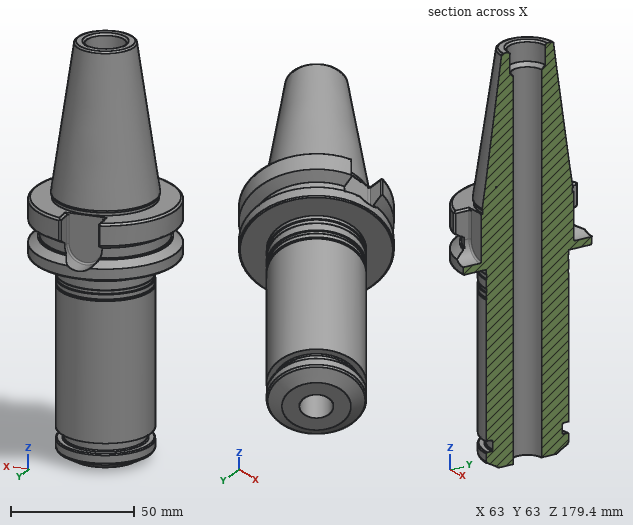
import cadquery as cq

total_height = 179.4
gauge_height = 114.1
flange_top = 112.0
flange_bottom = 87.2
rim_lower_edge = 102.5
vee_top = 99.7
vee_bottom = 94.9
lower_rim_top = 92.4

gauge_radius = 44.5 / 2
taper_slope = 7 / 48
taper_end_radius = gauge_radius - (total_height - gauge_height) * taper_slope
taper_end_chamfer = 0.7
neck_radius = 21.9
neck_height = 113.2

flange_radius = 63.0 / 2
vee_radius = 53.5 / 2
vee_lip_radius = 27.5
vee_lip_height = 0.5
rim_chamfer = 0.9
flange_bottom_chamfer = 0.5

body_radius = 40.5 / 2
ring_groove_radius = 40.0 / 2
ring_groove_slope = 0.4
ring_grooves = [(85.4, 82.9), (79.1, 77.1), (75.2, 74.3)]
nose_groove_radius = 34.0 / 2
nose_groove_top = 12.7
nose_groove_bottom = 8.0
nose_groove_chamfer = 0.5
nose_edge_height = 4.1
nose_cone_height = 3.2
nose_cone_radius = 19.7
nose_end_radius = 14.0

bore_radius = 13.8 / 2
counterbore_radius = 17.0 / 2
counterbore_depth = 9.3
shoulder_drop = 1.8
counterbore_chamfer = 0.9

slot_width = 16.1
slot_floor = 22.6
slot_bottom = 90.8
slot_chamfer = 0.9
slot_floor_fillet = 0.7


def make_body():
    """Revolve the outer outline of the holder, from the nose to the taper end."""
    outline = [
        (0, 0),
        (nose_end_radius, 0),
        (nose_cone_radius, nose_cone_height),
        (body_radius, nose_edge_height),
        (body_radius, nose_groove_bottom - nose_groove_chamfer),
        (body_radius - nose_groove_chamfer, nose_groove_bottom),
        (nose_groove_radius + nose_groove_chamfer, nose_groove_bottom),
        (nose_groove_radius, nose_groove_bottom + nose_groove_chamfer),
        (nose_groove_radius, nose_groove_top - nose_groove_chamfer),
        (nose_groove_radius + nose_groove_chamfer, nose_groove_top),
        (body_radius, nose_groove_top),
        (body_radius, flange_bottom),
        (flange_radius - flange_bottom_chamfer, flange_bottom),
        (flange_radius, flange_bottom + flange_bottom_chamfer),
        (flange_radius, lower_rim_top),
        (vee_lip_radius, vee_bottom),
        (vee_lip_radius, vee_bottom + vee_lip_height),
        (vee_radius, vee_bottom + vee_lip_height),
        (vee_radius, vee_top),
        (flange_radius, rim_lower_edge),
        (flange_radius, flange_top - rim_chamfer),
        (flange_radius - rim_chamfer, flange_top),
        (neck_radius, flange_top),
        (neck_radius, neck_height),
        (gauge_radius, gauge_height),
        (taper_end_radius + taper_end_chamfer * taper_slope, total_height - taper_end_chamfer),
        (taper_end_radius - taper_end_chamfer, total_height),
        (0, total_height),
    ]
    return cq.Workplane("XZ").polyline(outline).close().revolve(360, (0, 0, 0), (0, 1, 0))


def make_ring_groove(top, bottom):
    """Shallow ring with sloped walls, cut around the cylindrical body."""
    profile = [
        (body_radius, bottom),
        (ring_groove_radius, bottom + ring_groove_slope),
        (ring_groove_radius, top - ring_groove_slope),
        (body_radius, top),
    ]
    return cq.Workplane("XZ").polyline(profile).close().revolve(360, (0, 0, 0), (0, 1, 0))


def make_bore():
    """Through hole with a chamfered, cone-bottomed counterbore at the taper end."""
    mouth_radius = counterbore_radius + counterbore_chamfer
    shoulder = total_height - counterbore_depth
    outline = [
        (0, 0),
        (bore_radius, 0),
        (bore_radius, shoulder - shoulder_drop),
        (counterbore_radius, shoulder),
        (counterbore_radius, total_height - counterbore_chamfer),
        (mouth_radius, total_height),
        (0, total_height),
    ]
    return cq.Workplane("XZ").polyline(outline).close().revolve(360, (0, 0, 0), (0, 1, 0))


def make_drive_slot():
    """Round-bottomed slot on the -Y side, with chamfered mouth and top edges."""
    half_width = slot_width / 2
    arc_center = slot_bottom + half_width
    depth = flange_radius - slot_floor
    slot = (
        cq.Workplane("XZ", origin=(0, -slot_floor, 0))
        .moveTo(-half_width, gauge_height)
        .lineTo(-half_width, arc_center)
        .threePointArc((0, slot_bottom), (half_width, arc_center))
        .lineTo(half_width, gauge_height)
        .close()
        .extrude(depth)
        .faces(">Y")
        .edges("not >Z")
        .fillet(slot_floor_fillet)
    )
    rim_edge = (flange_radius**2 - half_width**2) ** 0.5
    mouth = (
        cq.Workplane("XY", origin=(0, 0, vee_top))
        .moveTo(-half_width, -(rim_edge - slot_chamfer))
        .lineTo(half_width, -(rim_edge - slot_chamfer))
        .lineTo(half_width + 2 * slot_chamfer, -(rim_edge + slot_chamfer))
        .lineTo(-half_width - 2 * slot_chamfer, -(rim_edge + slot_chamfer))
        .close()
        .extrude(gauge_height - vee_top)
    )
    top_edge = (
        cq.Workplane("XZ", origin=(0, -slot_floor, 0))
        .moveTo(-half_width, flange_top - slot_chamfer)
        .lineTo(half_width, flange_top - slot_chamfer)
        .lineTo(half_width + 2 * slot_chamfer, flange_top + slot_chamfer)
        .lineTo(-half_width - 2 * slot_chamfer, flange_top + slot_chamfer)
        .close()
        .extrude(depth)
    )
    return slot.union(mouth).union(top_edge)


result = make_body()
for groove_top, groove_bottom in ring_grooves:
    result = result.cut(make_ring_groove(groove_top, groove_bottom))
result = result.cut(make_bore())
drive_slot = make_drive_slot()
for angle in (0, 180):
    result = result.cut(drive_slot.rotate((0, 0, 0), (0, 0, 1), angle))